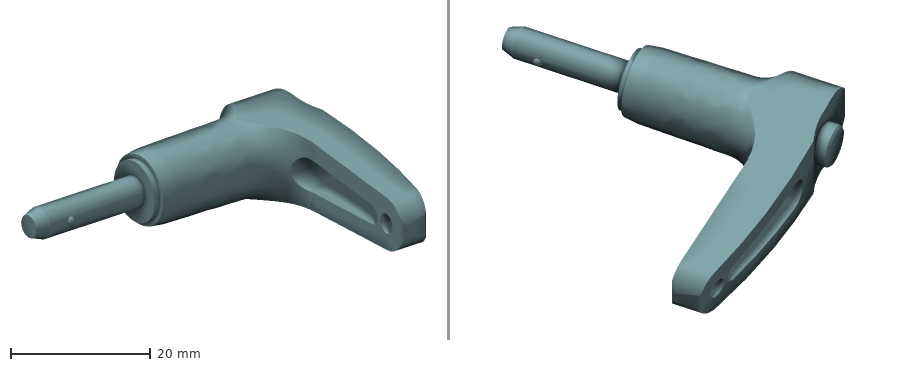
import cadquery as cq
import math


pin_radius = 2.45
pin_length = 19.36
pin_taper_length = 1.97
pin_tip_radius = 1.74

ball_radius = 0.8
ball_reach = 2.86
ball_y = -13.45

collar_radius = 4.73
collar_height = 0.93
sleeve_end_radius = 5.45
sleeve_lower_radius = 5.78
sleeve_lower_y = 3.23
sleeve_top_radius = 6.02
sleeve_top_y = 17.4
sleeve_mid_radius = 5.92
sleeve_mid_y = (sleeve_lower_y + sleeve_top_y) / 2
flare_radius = 5.85

button_radius = 3.24
button_top_y = 32.2
button_chamfer = 0.35

hub_radius = 6.345
hub_left_x = -9.0
hub_center_x = hub_left_x + hub_radius
lever_tip_x = 35.24
hole_center_x = 31.12
hole_radius = 1.54
tip_radius = lever_tip_x - hole_center_x
slot_large_x = 10.84
slot_large_radius = 2.58
slot_small_x = 27.24
slot_small_radius = 1.52

hub_top_y = 30.09
hub_edge_width = 1.1
hub_edge_drop = 0.4
hub_edge_radius = 1.7
cove_bottom_x = 0.4
cove_bottom_y = 29.97
cove_radius = 12.7
crest_x = 4.79
back_end_y = 25.98
back_radius = 109.0
underside_angle = math.radians(4.9)
top_corner_radius = 0.5
bottom_corner_radius = 0.85

flare_end_x = sleeve_top_radius + flare_radius * (1 + math.sin(underside_angle))
flare_end_y = sleeve_top_y + flare_radius * math.cos(underside_angle)
flare_overlap = 2.0
flare_top_y = flare_end_y + flare_overlap


def underside_y(x):
    """Height of the sloping lever underside at x."""
    return flare_end_y - (x - flare_end_x) * math.tan(underside_angle)


def cove_y(x):
    """Height of the concave thumb relief beside the button at x."""
    return cove_bottom_y + cove_radius - math.sqrt(cove_radius**2 - (x - cove_bottom_x) ** 2)


def tapered_prism(x1, r1, x2, r2, y_from, y_to):
    """Prism along Y around two circles on the X axis joined by their common tangents."""
    tangent_sin = (r1 - r2) / (x2 - x1)
    tangent_cos = math.sqrt(1 - tangent_sin**2)
    start = (x1 + r1 * tangent_sin, r1 * tangent_cos)
    end = (x2 + r2 * tangent_sin, r2 * tangent_cos)
    return (
        cq.Workplane("XZ", origin=(0, y_from, 0))
        .moveTo(*start)
        .lineTo(*end)
        .threePointArc((x2 + r2, 0), (end[0], -end[1]))
        .lineTo(start[0], -start[1])
        .threePointArc((x1 - r1, 0), start)
        .close()
        .extrude(y_from - y_to)
    )


def lever_outline():
    """Full-height prism of the lever outline."""
    return tapered_prism(hub_center_x, hub_radius, hole_center_x, tip_radius, sleeve_top_y, button_top_y)


def lever_side_profile():
    """Prism across Z with the hub top, lever back, square-cut tip and sloping underside."""
    cove_center_y = cove_bottom_y + cove_radius
    cove_start_x = cove_bottom_x - math.sqrt(cove_radius**2 - (cove_center_y - hub_top_y) ** 2)
    tip_bottom_y = underside_y(lever_tip_x)
    tip_top_x = lever_tip_x - (back_end_y - tip_bottom_y) * math.tan(underside_angle)
    profile = (
        cq.Workplane("XY", origin=(0, 0, -hub_radius))
        .moveTo(hub_left_x, underside_y(hub_left_x))
        .lineTo(hub_left_x, hub_top_y - hub_edge_drop)
        .radiusArc((hub_left_x + hub_edge_width, hub_top_y), hub_edge_radius)
        .lineTo(cove_start_x, hub_top_y)
        .threePointArc((cove_bottom_x, cove_bottom_y), (crest_x, cove_y(crest_x)))
        .radiusArc((tip_top_x, back_end_y), back_radius)
        .lineTo(lever_tip_x, tip_bottom_y)
        .close()
        .extrude(2 * hub_radius)
    )
    top_corner = cq.selectors.NearestToPointSelector((tip_top_x, back_end_y, 0))
    bottom_corner = cq.selectors.NearestToPointSelector((lever_tip_x, tip_bottom_y, 0))
    profile = profile.edges("|Z").edges(top_corner).fillet(top_corner_radius)
    return profile.edges("|Z").edges(bottom_corner).fillet(bottom_corner_radius)


def flare():
    """Revolved trumpet that blends the sleeve into the lever underside."""
    mid_angle = (math.pi / 2 + underside_angle) / 2
    arc_center_x = sleeve_top_radius + flare_radius
    return (
        cq.Workplane("XY")
        .moveTo(0, sleeve_top_y)
        .lineTo(sleeve_top_radius, sleeve_top_y)
        .threePointArc(
            (
                arc_center_x - flare_radius * math.cos(mid_angle),
                sleeve_top_y + flare_radius * math.sin(mid_angle),
            ),
            (flare_end_x, flare_end_y),
        )
        .lineTo(flare_end_x, flare_top_y)
        .lineTo(0, flare_top_y)
        .close()
        .revolve(360, (0, 0, 0), (0, 1, 0))
    )


def lever():
    """Lever handle with its slot and lanyard hole."""
    body = lever_side_profile().union(flare()).intersect(lever_outline())
    slot = tapered_prism(
        slot_large_x, slot_large_radius, slot_small_x, slot_small_radius, sleeve_top_y, button_top_y
    )
    hole = (
        cq.Workplane("XZ", origin=(hole_center_x, sleeve_top_y, 0))
        .circle(hole_radius)
        .extrude(sleeve_top_y - button_top_y)
    )
    return body.cut(slot).cut(hole)


def pin_and_sleeve():
    """Revolved tapered pin, collar and bowed sleeve."""
    return (
        cq.Workplane("XY")
        .moveTo(0, sleeve_top_y)
        .lineTo(sleeve_top_radius, sleeve_top_y)
        .threePointArc((sleeve_mid_radius, sleeve_mid_y), (sleeve_lower_radius, sleeve_lower_y))
        .tangentArcPoint((sleeve_end_radius, collar_height), relative=False)
        .lineTo(collar_radius, collar_height)
        .lineTo(collar_radius, 0)
        .lineTo(pin_radius, 0)
        .lineTo(pin_radius, pin_taper_length - pin_length)
        .lineTo(pin_tip_radius, -pin_length)
        .lineTo(0, -pin_length)
        .close()
        .revolve(360, (0, 0, 0), (0, 1, 0))
    )


def button():
    """Push button rising from the hub top along the pin axis."""
    return (
        cq.Workplane("XZ", origin=(0, flare_top_y, 0))
        .circle(button_radius)
        .extrude(flare_top_y - button_top_y)
        .faces(">Y")
        .chamfer(button_chamfer)
    )


def locking_balls():
    """Two balls standing out of opposite sides of the pin."""
    offset = ball_reach - ball_radius
    return (
        cq.Workplane("XY")
        .pushPoints([(-offset, ball_y), (offset, ball_y)])
        .sphere(ball_radius)
    )


result = lever().union(pin_and_sleeve()).union(button()).union(locking_balls())